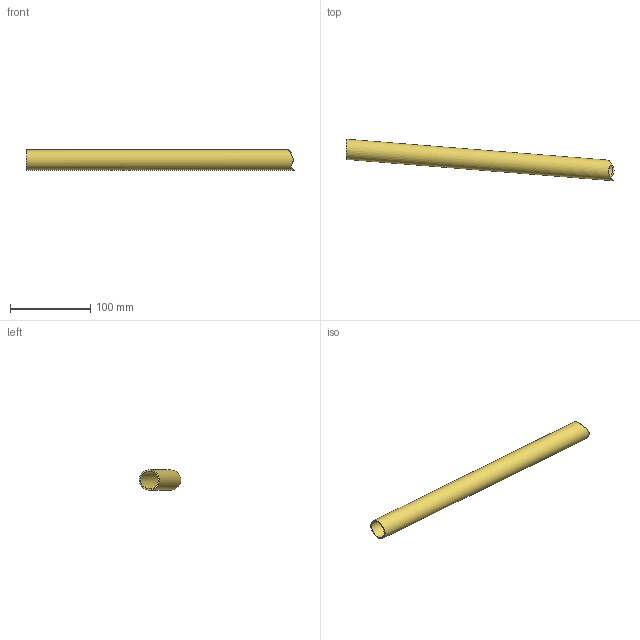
import cadquery as cq
import math

TUBE_DIAMETER = 25.0
WALL = 1.5
LENGTH_X = 333.2
DROP_PER_X = 0.07976
LEG_RADIUS = 15.0

tube_radius = TUBE_DIAMETER / 2
bore_radius = tube_radius - WALL
slope_angle = math.degrees(math.atan(DROP_PER_X))

tip_setback = math.sqrt(LEG_RADIUS**2 - tube_radius**2)
corner_x = LENGTH_X + tip_setback
corner_y = -corner_x * DROP_PER_X

end_allowance = TUBE_DIAMETER
leg_reach = 2 * TUBE_DIAMETER


def sloping_cylinder(radius):
    """Cylinder along the tube axis, from before the square end to the corner."""
    length = math.hypot(corner_x, corner_y) + end_allowance
    cylinder = cq.Workplane("YZ").workplane(offset=-end_allowance).circle(radius).extrude(length)
    return cylinder.rotate((0, 0, 0), (0, 0, 1), -slope_angle)


def square_end_trim():
    """Block on the -X side of the square end."""
    size = 4 * end_allowance
    return cq.Workplane("XY").box(size, size, size).translate((-size / 2, 0, 0))


def mitred_corner():
    """The Z leg and the Y leg, meeting on the plane y = z through the corner."""
    z_bar = cq.Workplane("XY").circle(LEG_RADIUS).extrude(leg_reach, both=True)
    above_mitre = (
        cq.Workplane("YZ")
        .polyline([(-leg_reach, -leg_reach), (leg_reach, leg_reach), (-leg_reach, leg_reach)])
        .close()
        .extrude(2 * LEG_RADIUS, both=True)
    )
    z_leg = z_bar.intersect(above_mitre)
    y_leg = z_leg.rotate((0, 0, 0), (1, 0, 0), 90).mirror("XZ")
    return z_leg.union(y_leg).translate((corner_x, corner_y, 0))


tube = sloping_cylinder(tube_radius).cut(sloping_cylinder(bore_radius))
result = tube.cut(square_end_trim()).cut(mitred_corner())